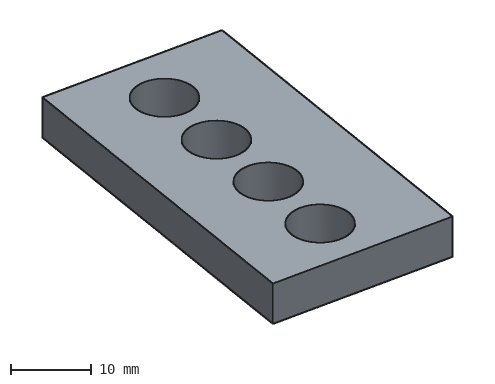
import cadquery as cq

length = 50.8
width = 26.9
thickness = 6.0

hole_diameter = 8.65
hole_count = 4
hole_pitch = 11.45
row_offset_x = 0.35
row_offset_y = -1

plate = cq.Workplane("XY").box(length, width, thickness)

result = (
    plate.faces(">Z")
    .workplane()
    .center(row_offset_x, row_offset_y)
    .rarray(hole_pitch, 0.5, hole_count, 1)
    .hole(hole_diameter)
)